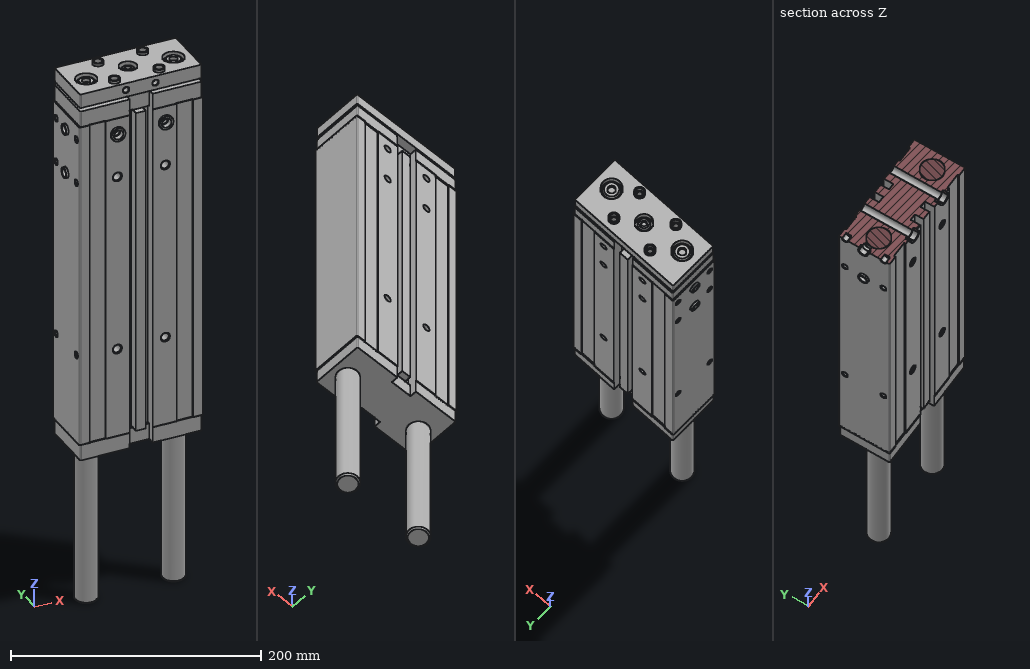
import cadquery as cq


rod_overhang = 142.5
cover_height = 14.5
tube_height = 295.2
yoke_gap = 3.0
plate_height = 12.5
cover_bottom = rod_overhang
tube_bottom = cover_bottom + cover_height
tube_top = tube_bottom + tube_height
cover_top = tube_top + cover_height
plate_bottom = cover_top + yoke_gap
plate_top = plate_bottom + plate_height

tube_width = 110.0
tube_depth = 49.0
corner_radius = 1.0
cover_width = 108.0
cover_depth = 48.0
front_y = -tube_depth / 2
side_x = -tube_width / 2

center_groove_width = 20.5
cover_groove_depth = 6.5
rib_width = 8.5
rib_drop = 1.0
sensor_slot_depth = 9.0
sensor_slot_width = (center_groove_width - rib_width) / 2
sensor_slot_x = (rib_width + sensor_slot_width) / 2
shallow_groove_width = 14.5
shallow_groove_depth = 1.5
shallow_groove_x = 39.0

plate_width = 108.0
plate_depth = 47.0
guide_rod_diameter = 20.0
guide_rod_x = 39.0
guide_rod_y = -3.5
guide_rod_chamfer = 1.5
piston_rod_diameter = 12.0
piston_rod_length = 29.0

guide_screw_seat = 18.0
guide_screw_head = 15.0
guide_screw_socket = 7.0
piston_screw_seat = 15.0
piston_screw_head = 11.0
piston_screw_socket = 5.0
screw_seat_depth = 7.5
screw_head_drop = 1.5
screw_socket_depth = 3.5
screw_head_chamfer = 1.5

large_sleeve_diameter = 12.0
large_sleeve_bore = 8.0
large_sleeve_protrusion = 2.5
small_sleeve_diameter = 9.0
small_sleeve_bore = 7.0
yoke_sleeve_protrusion = 2.5
side_sleeve_protrusion = 2.0
sleeve_seat_depth = 3.0

upper_row_z = 438.5
middle_row_z = upper_row_z - 40.0
lower_row_z = middle_row_z - 160.0
row_heights = [upper_row_z, middle_row_z, lower_row_z]
sleeved_side_heights = [upper_row_z, middle_row_z]
through_hole_diameter = 7.0
through_hole_chamfer = 0.75
small_hole_chamfer = 0.5
through_hole_x = 21.5
small_hole_diameter = 5.0
small_hole_depth = 6.0
side_hole_y = 18.5
yoke_front_hole_x = 13.0
yoke_hole_x = 20.0
yoke_hole_y = 15.0
yoke_hole_center_y = -1.0

front_sleeve_places = [(x, front_y, upper_row_z) for x in (-through_hole_x, through_hole_x)]
side_sleeve_places = [(side_x, 0, z) for z in sleeved_side_heights]
yoke_sleeve_places = [
    (x, yoke_hole_center_y + y, plate_top)
    for x in (-yoke_hole_x, yoke_hole_x)
    for y in (-yoke_hole_y, yoke_hole_y)
]
into_front = (0, 1, 0)
into_side = (1, 0, 0)
into_plate = (0, 0, -1)


def block(width, depth, bottom, height):
    """Box centred on the Z axis, with rounded upright edges."""
    body = cq.Workplane("XY").workplane(offset=bottom).rect(width, depth).extrude(height)
    return body.edges("|Z").fillet(corner_radius)


def cylinder(place, direction, diameter, length):
    """Cylinder that starts at a place and runs along a direction."""
    return cq.Workplane(cq.Solid.makeCylinder(diameter / 2, length, cq.Vector(place), cq.Vector(direction)))


def hole(place, direction, diameter, depth, chamfer):
    """Cutter for a round hole with a chamfered mouth."""
    radius = diameter / 2
    mouth = cq.Solid.makeCone(radius + chamfer, radius, chamfer, cq.Vector(place), cq.Vector(direction))
    return cylinder(place, direction, diameter, depth).union(cq.Workplane(mouth))


def groove(x, width, depth, body_depth, bottom, height):
    """Matching cutters for a lengthwise groove in the front and in the back of a body."""
    spots = [(x, -body_depth / 2), (x, body_depth / 2)]
    return cq.Workplane("XY").workplane(offset=bottom).pushPoints(spots).rect(width, 2 * depth).extrude(height)


def guide_rod(x):
    """Guide rod from its chamfered free end up to the yoke plate."""
    rod = cylinder((x, guide_rod_y, 0), (0, 0, 1), guide_rod_diameter, plate_bottom)
    return rod.faces("<Z").chamfer(guide_rod_chamfer)


def piston_rod():
    """Piston rod from inside the housing up to the yoke plate."""
    return cylinder((0, 0, plate_bottom), into_plate, piston_rod_diameter, piston_rod_length)


def tube():
    """Middle length of the housing, with a rib between two sensor slots and a shallow groove on each side."""
    body = block(tube_width, tube_depth, tube_bottom, tube_height)
    span = (tube_depth, tube_bottom, tube_height)
    body = body.cut(groove(0, rib_width, rib_drop, *span))
    for side in (-1, 1):
        body = body.cut(groove(side * sensor_slot_x, sensor_slot_width, sensor_slot_depth, *span))
        body = body.cut(groove(side * shallow_groove_x, shallow_groove_width, shallow_groove_depth, *span))
    return body


def cover(bottom):
    """End length of the housing, with the central groove."""
    body = block(cover_width, cover_depth, bottom, cover_height)
    return body.cut(groove(0, center_groove_width, cover_groove_depth, cover_depth, bottom, cover_height))


def make_housing():
    housing = tube().union(cover(cover_bottom)).union(cover(tube_top))

    for x in (-guide_rod_x, guide_rod_x):
        housing = housing.cut(cylinder((x, guide_rod_y, 0), (0, 0, 1), guide_rod_diameter, plate_bottom))
    housing = housing.cut(piston_rod())

    for z in row_heights:
        for x in (-through_hole_x, through_hole_x):
            place = (x, front_y, z)
            cutter = hole(place, into_front, through_hole_diameter, tube_depth, through_hole_chamfer)
            housing = housing.cut(cutter)
        for y in (-side_hole_y, side_hole_y):
            place = (side_x, y, z)
            cutter = hole(place, into_side, small_hole_diameter, small_hole_depth, small_hole_chamfer)
            housing = housing.cut(cutter)

    for place in front_sleeve_places:
        housing = housing.cut(cylinder(place, into_front, large_sleeve_diameter, sleeve_seat_depth))
    for place in side_sleeve_places:
        housing = housing.cut(cylinder(place, into_side, small_sleeve_diameter, sleeve_seat_depth))
        housing = housing.cut(cylinder(place, into_side, small_sleeve_bore, small_hole_depth))
    return housing


def sink_screw_head(body, x, y, seat, head, socket):
    """Cut a counterbore, leaving in it a chamfered screw head with a round socket."""
    place = (x, y, plate_top)
    head_place = (x, y, plate_top - screw_head_drop)
    body = body.cut(cylinder(place, into_plate, seat, screw_seat_depth))
    screw_head = cylinder(head_place, into_plate, head, screw_seat_depth).faces(">Z").chamfer(screw_head_chamfer)
    body = body.union(screw_head)
    return body.cut(cylinder(head_place, into_plate, socket, screw_socket_depth))


def make_yoke():
    yoke = block(plate_width, plate_depth, plate_bottom, plate_height)

    yoke = yoke.union(piston_rod())
    yoke = sink_screw_head(yoke, 0, 0, piston_screw_seat, piston_screw_head, piston_screw_socket)
    for x in (-guide_rod_x, guide_rod_x):
        yoke = yoke.union(guide_rod(x))
        yoke = sink_screw_head(yoke, x, guide_rod_y, guide_screw_seat, guide_screw_head, guide_screw_socket)

    for place in yoke_sleeve_places:
        yoke = yoke.cut(cylinder(place, into_plate, small_hole_diameter, plate_height))
        yoke = yoke.cut(cylinder(place, into_plate, small_sleeve_diameter, sleeve_seat_depth))

    for x in (-yoke_front_hole_x, yoke_front_hole_x):
        place = (x, -plate_depth / 2, plate_bottom + plate_height / 2)
        yoke = yoke.cut(hole(place, into_front, small_hole_diameter, small_hole_depth, small_hole_chamfer))
    return yoke


def make_sleeve(place, inward, diameter, bore, protrusion):
    """Centring sleeve that fills its seat and stands out of the face by its protrusion."""
    outer_end = cq.Vector(place) - cq.Vector(inward) * protrusion
    length = protrusion + sleeve_seat_depth
    return cylinder(outer_end, inward, diameter, length).cut(cylinder(outer_end, inward, bore, length))


housing = make_housing()
yoke = make_yoke()
front_sleeves = [
    make_sleeve(place, into_front, large_sleeve_diameter, large_sleeve_bore, large_sleeve_protrusion)
    for place in front_sleeve_places
]
side_sleeves = [
    make_sleeve(place, into_side, small_sleeve_diameter, small_sleeve_bore, side_sleeve_protrusion)
    for place in side_sleeve_places
]
yoke_sleeves = [
    make_sleeve(place, into_plate, small_sleeve_diameter, small_sleeve_bore, yoke_sleeve_protrusion)
    for place in yoke_sleeve_places
]
sleeves = front_sleeves + side_sleeves + yoke_sleeves

result = cq.Compound.makeCompound([housing.val(), yoke.val(), *[sleeve.val() for sleeve in sleeves]])